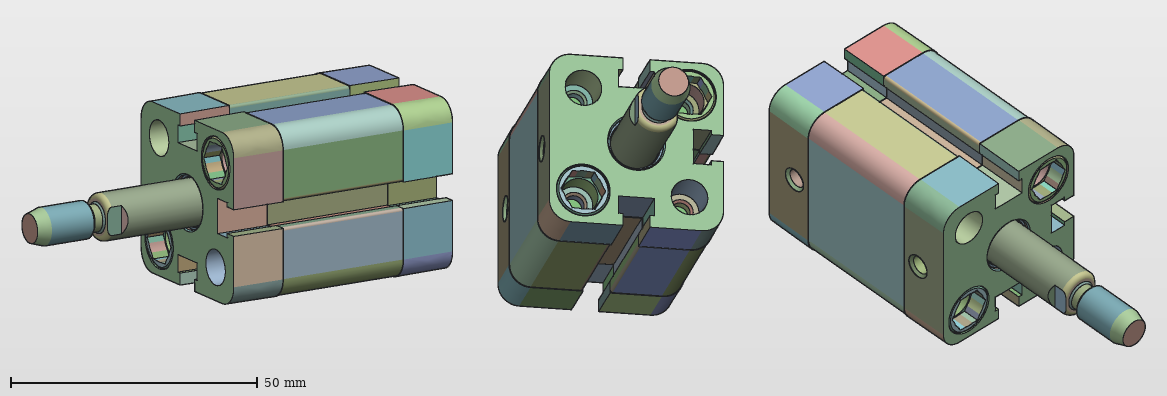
import cadquery as cq
import math


CAP_LENGTH = 11.75
TUBE_LENGTH = 28.6
TUBE_FRONT = CAP_LENGTH
TUBE_BACK = TUBE_FRONT + TUBE_LENGTH
HOUSING_LENGTH = TUBE_BACK + CAP_LENGTH

BODY_WIDTH = 36.0
CORNER_RADIUS = 4.4
CAP_WIDTH_MAX = 36.3
CAP_DRAFT = 0.5
CAP_LEAN = CAP_LENGTH * math.tan(math.radians(CAP_DRAFT))
CAP_FACE_WIDTH = CAP_WIDTH_MAX - 2 * CAP_LEAN
CAP_CORNER_RADIUS = CORNER_RADIUS + (CAP_FACE_WIDTH - BODY_WIDTH) / 2

SLOT_NECK_WIDTH = 5.6
TUBE_SLOT_WIDTH = 7.0
TUBE_SLOT_FLOOR = 12.0
CAP_SLOT_CLEARANCE = 0.2
SLOT_LIP = 15.5
SLOT_REACH = BODY_WIDTH / 2 + 1.0
TUBE_LIP_RADIUS = 0.6
SLOT_ANGLES = (0, 90, 180)

HOLE_OFFSET = 11.0
MOUNT_BORE = 7.55
MOUNT_DEPTH = 9.0
THREAD_CORE = 4.13
THREAD_MOUTH = 5.2
HEAD_RECESS = 11.1
HEAD_DIAMETER = 10.9
HEAD_TOP = 10.2
HEAD_BEVEL_DEPTH = 0.45
HEX_FLATS = 8.0
HEX_RELIEF = 8.25
HEX_DEPTH = 3.8

PORT_SETBACK = 7.6
PORT_MOUTH = 5.4
PORT_DEPTH = 9.0
PORT_SLIT_HEIGHT = 3.0

ROD_DIAMETER = 10.0
ROD_OUT = 21.5
ROD_EDGE_RADIUS = 1.1
ROD_BACK = HOUSING_LENGTH - 4.0
FLATS_WIDTH = 8.0
FLATS_LENGTH = 3.35
NECK_DIAMETER = 5.8
NECK_CHAMFER = 0.4
STUD_DIAMETER = 8.0
STUD_START = 24.1
STUD_CHAMFER = 0.5
STUD_TIP_DIAMETER = 6.2
STUD_TIP_LENGTH = 2.9
STUD_END = 37.5

WIPER_MOUTH = 12.0
WIPER_BORE = 11.4
WIPER_DEPTH = 1.0
WIPER_LIP_BORE = 10.48
WIPER_LIP_DEPTH = 2.0


def section(y):
    """Workplane at the given Y whose extrusions run toward +Y, with +Z up."""
    plane = cq.Plane(origin=(0, y, 0), xDir=(-1, 0, 0), normal=(0, 1, 0))
    return cq.Workplane(plane)


def rounded_block(y, length, width, corner_radius, taper=0):
    profile = cq.Sketch().rect(width, width).vertices().fillet(corner_radius)
    return section(y).placeSketch(profile).extrude(length, taper=taper)


def cap_blank():
    return rounded_block(0, CAP_LENGTH, CAP_FACE_WIDTH, CAP_CORNER_RADIUS, -CAP_DRAFT)


def slot_cutter(y, length, clearance, lip_radius):
    """T-slot cutter for the top side; a lip radius rounds the slot opening."""
    neck = SLOT_NECK_WIDTH / 2
    wide = TUBE_SLOT_WIDTH / 2 + clearance
    floor = TUBE_SLOT_FLOOR - clearance
    surface = BODY_WIDTH / 2
    outline = (
        section(y)
        .moveTo(-wide, floor)
        .lineTo(wide, floor)
        .lineTo(wide, SLOT_LIP)
        .lineTo(neck, SLOT_LIP)
    )
    if lip_radius:
        diagonal = lip_radius * (1 - math.sqrt(0.5))
        opening = neck + lip_radius
        outline = (
            outline.lineTo(neck, surface - lip_radius)
            .threePointArc((neck + diagonal, surface - diagonal), (opening, surface))
            .lineTo(opening, SLOT_REACH)
            .lineTo(-opening, SLOT_REACH)
            .lineTo(-opening, surface)
            .threePointArc((-neck - diagonal, surface - diagonal), (-neck, surface - lip_radius))
        )
    else:
        outline = outline.lineTo(neck, SLOT_REACH).lineTo(-neck, SLOT_REACH)
    return outline.lineTo(-neck, SLOT_LIP).lineTo(-wide, SLOT_LIP).close().extrude(length)


def cut_slots(body, y, length, clearance=0, lip_radius=0):
    cutter = slot_cutter(y, length, clearance, lip_radius)
    for angle in SLOT_ANGLES:
        body = body.cut(cutter.rotate((0, 0, 0), (0, 1, 0), angle))
    return body


def rod_bore(y, length):
    return section(y).circle(ROD_DIAMETER / 2).extrude(length)


def port_cutter(y):
    """Chamfered threaded hole from the -X side, then a slit down to the rod."""
    side = CAP_WIDTH_MAX / 2
    core = THREAD_CORE / 2
    mouth = PORT_MOUTH / 2
    chamfer = mouth - core
    surface = BODY_WIDTH / 2
    inner = surface - PORT_DEPTH
    hole = (
        cq.Workplane("XY")
        .moveTo(-side, 0)
        .lineTo(-side, mouth)
        .lineTo(-surface, mouth)
        .lineTo(-surface + chamfer, core)
        .lineTo(-inner, core)
        .lineTo(-inner, 0)
        .close()
        .revolve(360, (0, 0, 0), (1, 0, 0))
    )
    slit = (
        cq.Workplane("YZ", origin=(-inner, 0, 0))
        .circle(core)
        .extrude(inner)
        .intersect(cq.Workplane("XY").box(BODY_WIDTH, THREAD_CORE, PORT_SLIT_HEIGHT))
    )
    return hole.union(slit).translate((0, y, 0))


def mount_hole_cutter():
    """Stepped hole through the cap: wide bore, then a chamfered thread core."""
    bore = MOUNT_BORE / 2
    mouth = THREAD_MOUTH / 2
    core = THREAD_CORE / 2
    chamfer_end = MOUNT_DEPTH + mouth - core
    return (
        cq.Workplane("XY")
        .lineTo(bore, 0)
        .lineTo(bore, MOUNT_DEPTH)
        .lineTo(mouth, MOUNT_DEPTH)
        .lineTo(core, chamfer_end)
        .lineTo(core, CAP_LENGTH)
        .lineTo(0, CAP_LENGTH)
        .close()
        .revolve(360, (0, 0, 0), (0, 1, 0))
    )


def screw_socket_cutter():
    """Hex socket plus the bevelled groove around the screw head."""
    hexagon = section(0).polygon(6, HEX_FLATS / math.cos(math.pi / 6)).extrude(HEX_DEPTH)
    groove = (
        cq.Workplane("XY")
        .moveTo(HEAD_TOP / 2, 0)
        .lineTo(HEAD_RECESS / 2, 0)
        .lineTo(HEAD_RECESS / 2, HEAD_BEVEL_DEPTH)
        .lineTo(HEAD_DIAMETER / 2, HEAD_BEVEL_DEPTH)
        .close()
        .revolve(360, (0, 0, 0), (0, 1, 0))
    )
    relief = section(0).circle(HEX_RELIEF / 2).extrude(HEX_DEPTH)
    return hexagon.union(relief).union(groove)


def wiper_cutter():
    """Stepped wiper recess around the rod, with a 45 degree bevel at its mouth."""
    mouth = WIPER_MOUTH / 2
    bore = WIPER_BORE / 2
    lip = WIPER_LIP_BORE / 2
    return (
        cq.Workplane("XY")
        .lineTo(mouth, 0)
        .lineTo(bore, mouth - bore)
        .lineTo(bore, WIPER_DEPTH)
        .lineTo(lip, WIPER_DEPTH)
        .lineTo(lip, WIPER_LIP_DEPTH)
        .lineTo(0, WIPER_LIP_DEPTH)
        .close()
        .revolve(360, (0, 0, 0), (0, 1, 0))
    )


def make_tube():
    tube = rounded_block(TUBE_FRONT, TUBE_LENGTH, BODY_WIDTH, CORNER_RADIUS)
    tube = cut_slots(tube, TUBE_FRONT, TUBE_LENGTH, lip_radius=TUBE_LIP_RADIUS)
    return tube.cut(rod_bore(TUBE_FRONT, TUBE_LENGTH))


def make_front_cap():
    cap = cap_blank()
    cap = cut_slots(cap, 0, CAP_LENGTH, clearance=CAP_SLOT_CLEARANCE)
    cap = cap.cut(rod_bore(0, CAP_LENGTH))
    cap = cap.cut(wiper_cutter())
    cap = cap.cut(port_cutter(PORT_SETBACK))
    for side_x in (-1, 1):
        for side_z in (-1, 1):
            place = (side_x * HOLE_OFFSET, 0, side_z * HOLE_OFFSET)
            cap = cap.cut(mount_hole_cutter().translate(place))
            if side_x == side_z:
                cap = cap.cut(screw_socket_cutter().translate(place))
    return cap


def make_rear_cap():
    cap = cap_blank()
    cap = cap.mirror("XZ").translate((0, HOUSING_LENGTH, 0))
    cap = cut_slots(cap, TUBE_BACK, CAP_LENGTH, clearance=CAP_SLOT_CLEARANCE)
    cap = cap.cut(rod_bore(TUBE_BACK, ROD_BACK - TUBE_BACK))
    return cap.cut(port_cutter(HOUSING_LENGTH - PORT_SETBACK))


def make_rod():
    radius = ROD_DIAMETER / 2
    neck = NECK_DIAMETER / 2
    stud = STUD_DIAMETER / 2
    round_corner = ROD_EDGE_RADIUS * (1 - math.sqrt(0.5))
    rod = (
        cq.Workplane("XY")
        .moveTo(0, ROD_BACK)
        .lineTo(radius, ROD_BACK)
        .lineTo(radius, ROD_EDGE_RADIUS - ROD_OUT)
        .threePointArc(
            (radius - round_corner, round_corner - ROD_OUT),
            (radius - ROD_EDGE_RADIUS, -ROD_OUT),
        )
        .lineTo(neck + NECK_CHAMFER, -ROD_OUT)
        .lineTo(neck, -ROD_OUT - NECK_CHAMFER)
        .lineTo(neck, NECK_CHAMFER - STUD_START)
        .lineTo(neck + NECK_CHAMFER, -STUD_START)
        .lineTo(stud - STUD_CHAMFER, -STUD_START)
        .lineTo(stud, -STUD_START - STUD_CHAMFER)
        .lineTo(stud, STUD_TIP_LENGTH - STUD_END)
        .lineTo(STUD_TIP_DIAMETER / 2, -STUD_END)
        .lineTo(0, -STUD_END)
        .close()
        .revolve(360, (0, 0, 0), (0, 1, 0))
    )

    flat = FLATS_WIDTH / 2
    runout = radius - flat
    flats_back = FLATS_LENGTH - ROD_OUT
    flat_cutter = (
        cq.Workplane("XY")
        .moveTo(flat, -ROD_OUT)
        .lineTo(flat, flats_back)
        .lineTo(radius, flats_back + runout)
        .lineTo(radius, -ROD_OUT)
        .close()
        .extrude(radius, both=True)
    )
    return rod.cut(flat_cutter).cut(flat_cutter.mirror("YZ"))


front_cap = make_front_cap()
tube = make_tube()
rear_cap = make_rear_cap()
rod = make_rod()

result = cq.Compound.makeCompound([front_cap.val(), tube.val(), rear_cap.val(), rod.val()])